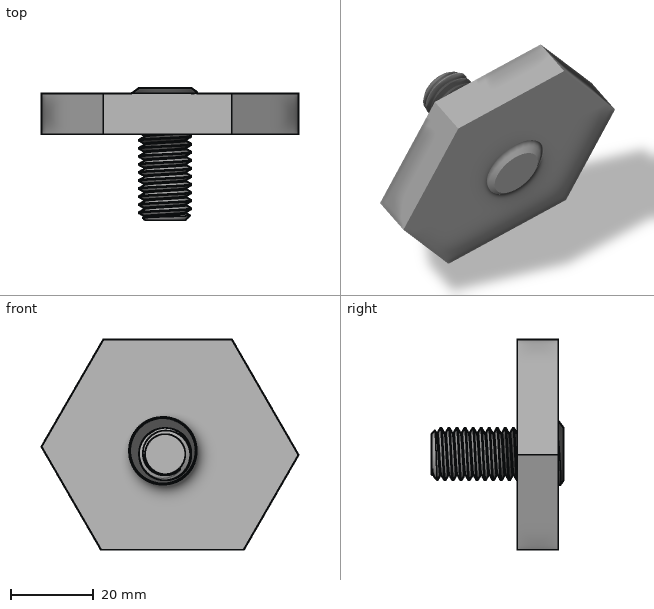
import cadquery as cq
import math

plate_thickness = 10.0
nearest_flat = 24.0
flat_step = 1.0
flat_count = 6
flat_turn = 2 * math.pi / flat_count

lip_radius = 7.9
lip_chamfer = 0.3
lip_length = 2.7
pocket_radius = 8.35
head_gap = 1.9
head_depth = lip_length + head_gap

shank_x = 0.55
shank_z = -0.8
head_rise = 1.3
head_end_radius = 6.35
head_cone_angle = 54
head_cone_slope = math.tan(math.radians(head_cone_angle))
shank_reach = 20.8
shank_end = -shank_reach
tip_radius = 4.85

thread_radius = 6.35
thread_pitch = 1.95
thread_depth = 1.2
crest_width = thread_pitch / 8
root_radius = thread_radius - thread_depth
crest_from_tip = 0.9
root_overlap = 0.1
trim_margin = 0.1
flank_slope = math.tan(math.radians(30))


def flat_corner(index):
    """Corner between flat `index` and the next one, in X and Z; flat 0 is the lowest."""
    distance = nearest_flat + index * flat_step
    next_distance = nearest_flat + (index + 1) % flat_count * flat_step
    angle = -math.pi / 2 - index * flat_turn
    along = (next_distance - distance * math.cos(flat_turn)) / math.sin(flat_turn)
    x = distance * math.cos(angle) + along * math.sin(angle)
    z = distance * math.sin(angle) - along * math.cos(angle)
    return (x, z)


def revolve_about_y(profile):
    """Solid turned about the Y axis from (radius, y) points."""
    return cq.Workplane("XY").polyline(profile).close().revolve(360, (0, 0, 0), (0, 1, 0))


def make_washer():
    corners = [flat_corner(index) for index in range(flat_count)]
    plate = cq.Workplane("XZ").polyline(corners).close().extrude(-plate_thickness)
    bore = revolve_about_y([
        (0, 0),
        (lip_radius + lip_chamfer, 0),
        (lip_radius, lip_chamfer),
        (lip_radius, lip_length),
        (pocket_radius, lip_length),
        (pocket_radius, plate_thickness),
        (0, plate_thickness),
    ])
    return plate.cut(bore)


def make_head():
    """Round head on the bore axis, its rear end coned about the shank axis."""
    head_top = plate_thickness + head_rise
    cylinder = revolve_about_y([
        (0, head_depth),
        (pocket_radius, head_depth),
        (pocket_radius, head_top),
        (0, head_top),
    ])
    cone_base_radius = head_end_radius + (head_top - head_depth) * head_cone_slope
    cone = revolve_about_y([
        (0, head_depth),
        (cone_base_radius, head_depth),
        (head_end_radius, head_top),
        (0, head_top),
    ]).translate((shank_x, 0, shank_z))
    return cylinder.intersect(cone)


def make_thread_ridge(start, length):
    """Right-hand helical ridge about Y, its foot sunk a little below the thread root."""
    flank_run = (thread_depth + root_overlap) * flank_slope
    crest_half = crest_width / 2
    foot_half = crest_half + flank_run
    foot_radius = root_radius - root_overlap
    helix = cq.Wire.makeHelix(thread_pitch, length, foot_radius)
    ridge = (
        cq.Workplane("XZ")
        .polyline([
            (foot_radius, -foot_half),
            (thread_radius, -crest_half),
            (thread_radius, crest_half),
            (foot_radius, foot_half),
        ])
        .close()
        .sweep(cq.Workplane(helix), isFrenet=True)
    )
    return ridge.rotate((0, 0, 0), (1, 0, 0), -90).translate((0, start, 0))


def make_shank():
    """Threaded rod longer than the shank, trimmed to length with a coned tip."""
    ridge_start = shank_end + crest_from_tip - 2 * thread_pitch
    ridge_end = head_depth + thread_pitch
    core_start = ridge_start - thread_pitch
    core_end = ridge_end + thread_pitch
    core = revolve_about_y([
        (0, core_start),
        (root_radius, core_start),
        (root_radius, core_end),
        (0, core_end),
    ])
    rod = core.union(make_thread_ridge(ridge_start, ridge_end - ridge_start), clean=False)
    trim_radius = thread_radius + trim_margin
    trim = revolve_about_y([
        (0, shank_end),
        (tip_radius, shank_end),
        (trim_radius, shank_end + trim_radius - tip_radius),
        (trim_radius, head_depth),
        (0, head_depth),
    ])
    return rod.intersect(trim, clean=False).translate((shank_x, 0, shank_z))


def make_screw():
    return make_head().union(make_shank(), clean=False)


washer = make_washer()
screw = make_screw()

result = cq.Compound.makeCompound([washer.val(), screw.val()])